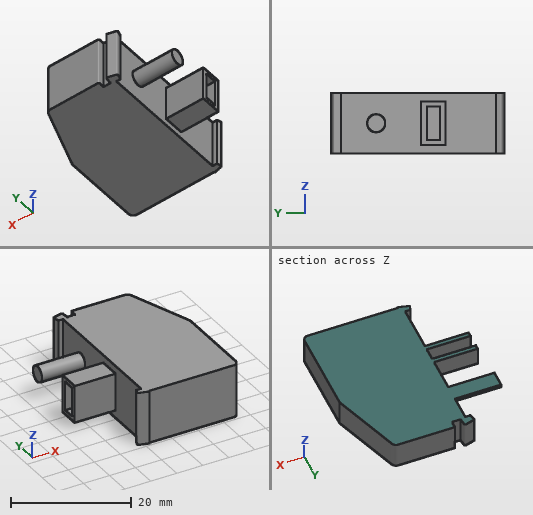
import cadquery as cq
import math

body_depth = 18.05
body_half_width = 14.3
height = 10.1
corner_radius = 1.0
slope_end_y = 1.73
slope_angle = 20.2

clip_tip_x = -1.195
clip_tip_y = 13.945
clip_crest_x = 0.84
clip_lean = 15.0
clip_radius = 0.2
upper_clip_inner_y = 12.73
lower_clip_inner_y = 13.0

notch_floor_y = 13.04
notch_start_x = 1.03
notch_end_x = 2.48
notch_edge_radius = 0.2

pin_diameter = 3.0
pin_length = 8.3
pin_y = 6.9

socket_length = 7.85
socket_width = 4.05
socket_height = 7.15
socket_y = -2.6
socket_hole_width = 2.2
socket_hole_height = 5.5


def extrude_outline(points):
    """Closed plan outline extruded over the full height, centred on Z = 0."""
    return cq.Workplane("XY").polyline(points).close().extrude(height / 2, both=True)


def round_upright_edge(solid, x, y, radius):
    """Round the vertical edge that stands at (x, y)."""
    edge = cq.selectors.NearestToPointSelector((x, y, 0))
    return solid.edges("|Z").edges(edge).fillet(radius)


def make_body():
    """Housing block, stepped back at the -Y end where the lower clip fills the corner."""
    slope_run_y = body_half_width - slope_end_y
    slope_start_x = body_depth - slope_run_y * math.tan(math.radians(slope_angle))
    body = extrude_outline([
        (0, -lower_clip_inner_y),
        (clip_crest_x, -lower_clip_inner_y),
        (clip_crest_x, -body_half_width),
        (body_depth, -body_half_width),
        (body_depth, slope_end_y),
        (slope_start_x, body_half_width),
        (notch_end_x, body_half_width),
        (notch_end_x, notch_floor_y),
        (0, notch_floor_y),
    ])
    body = round_upright_edge(body, body_depth, -body_half_width, corner_radius)
    body = round_upright_edge(body, slope_start_x, body_half_width, corner_radius)
    return round_upright_edge(body, notch_end_x, body_half_width, notch_edge_radius)


def make_clip(inner_y):
    """Clip for the +Y end; its nose and inner flank are square to each other."""
    lean = math.tan(math.radians(clip_lean))
    crest_y = clip_tip_y + (clip_crest_x - clip_tip_x) * lean
    inner_x = clip_tip_x + (clip_tip_y - inner_y) * lean
    clip = extrude_outline([
        (clip_tip_x, clip_tip_y),
        (clip_crest_x, crest_y),
        (notch_start_x, notch_floor_y),
        (notch_start_x, inner_y),
        (inner_x, inner_y),
    ])
    clip = round_upright_edge(clip, clip_tip_x, clip_tip_y, clip_radius)
    return round_upright_edge(clip, clip_crest_x, crest_y, clip_radius)


def make_pin():
    return (
        cq.Workplane("YZ")
        .center(pin_y, 0)
        .circle(pin_diameter / 2)
        .extrude(-pin_length)
    )


def make_socket():
    """Rectangular tube whose cavity ends at the plug face."""
    return (
        cq.Workplane("YZ")
        .center(socket_y, 0)
        .rect(socket_width, socket_height)
        .rect(socket_hole_width, socket_hole_height)
        .extrude(-socket_length)
    )


upper_clip = make_clip(upper_clip_inner_y)
lower_clip = make_clip(lower_clip_inner_y).mirror("XZ")

result = (
    make_body()
    .union(upper_clip)
    .union(lower_clip)
    .union(make_pin())
    .union(make_socket())
)